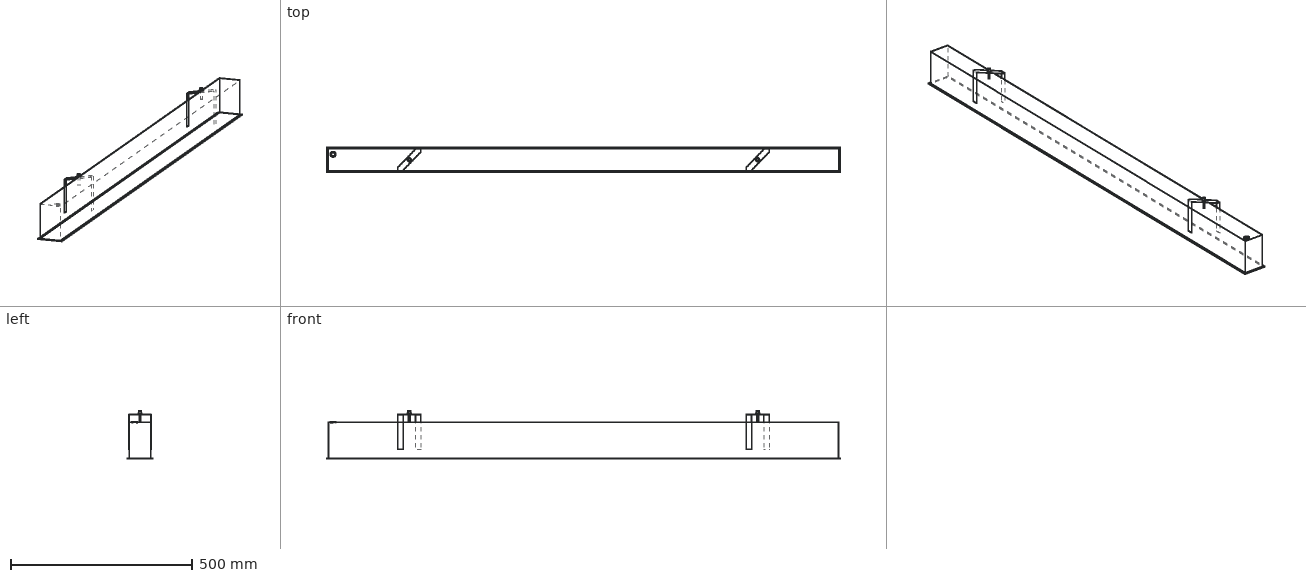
import cadquery as cq

overall_length = 1414.0
overall_width = 69.6
overall_height = 131.0

end_overhang = 4.0
side_overhang = 4.8
flange_thickness = 1.2
housing_height = 100.0
housing_length = overall_length - 2 * end_overhang
housing_width = overall_width - 2 * side_overhang

grommet_diameter = 15.0
cable_hole_diameter = 10.0
grommet_depth = 3.0
grommet_rise = 1.0
grommet_from_end = 13.0
grommet_x = grommet_from_end - housing_length / 2
grommet_y = 15.0

hanger_centres = (-480.0, 480.0)
strap_thickness = 0.5
strap_height = 121.6
leg_bottom = 25.5
leg_width = 15.7
leg_spacing = 48.8
corner_flat = 8.5
bend_radius = 2.0
inner_bend_radius = bend_radius - strap_thickness

shank_diameter = 4.88
collar_diameter = 10.0
collar_height = 3.0
head_diameter = 7.1


def cylinder(x, y, bottom, top, diameter):
    return cq.Workplane("XY", origin=(x, y, bottom)).circle(diameter / 2).extrude(top - bottom)


def grommet_cylinder(diameter):
    bottom = housing_height - grommet_depth
    return cylinder(grommet_x, grommet_y, bottom, housing_height + grommet_rise, diameter)


def slab(length, width, height):
    return cq.Workplane("XY").box(length, width, height, centered=(True, True, False))


def make_housing():
    flange = slab(overall_length, overall_width, flange_thickness)
    body = slab(housing_length, housing_width, housing_height)
    return flange.union(body).cut(grommet_cylinder(grommet_diameter))


def make_grommet():
    return grommet_cylinder(grommet_diameter).cut(grommet_cylinder(cable_hole_diameter))


def rounded_block(length, width, height, radius):
    return slab(length, width, height).edges("|X and >Z").fillet(radius)


def make_strap():
    half_width = housing_width / 2 + strap_thickness
    outer_x = (leg_spacing + leg_width) / 2
    inner_x = (leg_spacing - leg_width) / 2

    outside = rounded_block(2 * outer_x, 2 * half_width, strap_height, bend_radius)
    inside = rounded_block(2 * outer_x, housing_width, strap_height - strap_thickness, inner_bend_radius)
    sheet = outside.cut(inside)

    half_outline = [
        (-outer_x, corner_flat - half_width),
        (-outer_x, -half_width),
        (-inner_x, -half_width),
        (-inner_x, bend_radius - half_width),
    ]
    outline = half_outline + [(-x, -y) for x, y in half_outline]
    plan = (
        cq.Workplane("XY", origin=(0, 0, leg_bottom))
        .polyline(outline)
        .close()
        .extrude(strap_height - leg_bottom)
    )
    return sheet.intersect(plan)


def make_hanger(centre_x):
    collar_top = strap_height + collar_height
    shank = cylinder(0, 0, housing_height, strap_height, shank_diameter)
    collar = cylinder(0, 0, strap_height, collar_top, collar_diameter)
    head = cylinder(0, 0, collar_top, overall_height, head_diameter)
    hanger = make_strap().union(shank).union(collar).union(head)
    return hanger.translate((centre_x, 0, 0))


housing = make_housing()
grommet = make_grommet()
hangers = [make_hanger(centre_x) for centre_x in hanger_centres]

result = cq.Compound.makeCompound([housing.val(), grommet.val(), *[hanger.val() for hanger in hangers]])